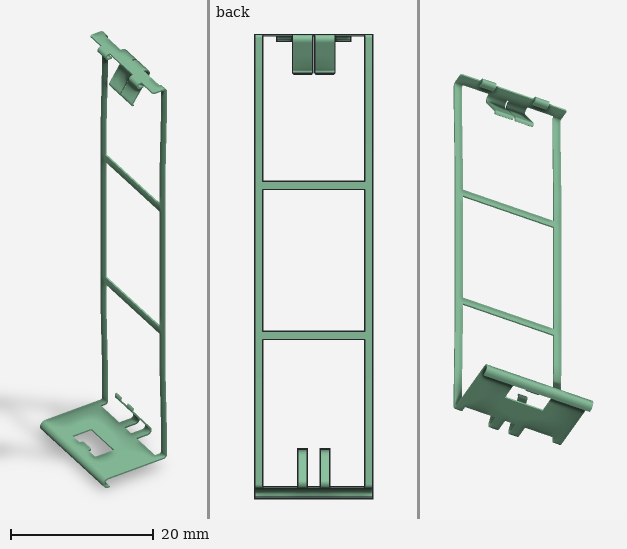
import cadquery as cq
import math


height = 65.1
width = 16.6
back_reach = 1.3
depth = 11.85
thickness = 0.25

leg_width = 1.2
leg_bend = 0.4
leg_step = 0.25
leg_slope_levels = (6.25, 16.85, 50.0, 60.4)
crossbar_height = 1.2
crossbar_bottoms = (22.3, 43.35)

flange_front = -2.3
corner_cut = 0.2
tab_inner = 3.05
tab_width = 2.15
tab_front = -3.0
tab_bend = 0.4
tab_lip = 0.5

tongue_width = 6.0
tongue_slit = 0.25
tongue_back = 0.5
tongue_bend = 0.65
tongue_turn = 124
tongue_length = 4.6
tongue_tip_turn = 75
tongue_tip_bend = 0.3
tongue_tip_length = 0.2

plate_back = -1.25
lip_bend = 0.7
lip_turn = 168
lip_length = 0.4
window_width = 6.0
window_back = -5.4
window_front = -8.5
stop_width = 2.3
stop_height = 0.6

finger_width = 1.35
finger_spacing = 3.1
finger_bend = 0.6
finger_turn = 127
finger_length = 4.7
finger_tip_turn = 85
finger_tip_bend = 0.5

half_sheet = thickness / 2
flange_mid = height - half_sheet
lip_angle = math.radians(lip_turn)
lip_drop = lip_bend * (1 - math.cos(lip_angle)) + lip_length * math.sin(lip_angle)
plate_mid = lip_drop - half_sheet * math.cos(lip_angle)
plate_top = plate_mid + half_sheet
front_reach = back_reach - depth
leg_bend_start = -half_sheet - leg_bend
leg_center = (width - leg_width) / 2
tab_center = tab_inner + tab_width / 2


def box(x_size, x_center, y_min, y_max, z_min, z_max):
    """Plain block centred on x_center."""
    block = cq.Workplane("XY").box(x_size, y_max - y_min, z_max - z_min, centered=(True, False, False))
    return block.translate((x_center, y_min, z_min))


def extrude_across(profile, strip_width, x_center):
    """Extrude a closed YZ profile along X, centred on x_center."""
    return profile.extrude(strip_width / 2, both=True).translate((x_center, 0, 0))


def bent_strip(start, heading, steps, strip_width, x_center=0.0):
    """Strip of sheet whose middle line starts at (y, z) and follows the steps.

    A number is a straight length; a (turn, radius) pair is a bend, positive turns to the left.
    Headings and turns are in degrees, with 0 along +Y and 90 along +Z.
    """
    y, z = start

    def beside(offset, angle, center):
        side = math.radians(angle + 90)
        return (center[0] + offset * math.cos(side), center[1] + offset * math.sin(side))

    def edge_points(offset):
        """Points of one face of the sheet: (end,) for a line, (middle, end) for an arc."""
        place = (y, z)
        angle = heading
        runs = [(beside(offset, angle, place),)]
        for step in steps:
            if isinstance(step, tuple):
                turn, radius = step
                side = math.copysign(radius, turn)
                center = beside(side, angle, place)
                middle = beside(offset - side, angle + turn / 2, center)
                angle += turn
                place = beside(-side, angle, center)
                runs.append((middle, beside(offset, angle, place)))
            else:
                direction = math.radians(angle)
                place = (place[0] + step * math.cos(direction), place[1] + step * math.sin(direction))
                runs.append((beside(offset, angle, place),))
        return runs

    left = edge_points(half_sheet)
    right = edge_points(-half_sheet)
    profile = cq.Workplane("YZ").moveTo(*left[0][0])
    for run in left[1:]:
        profile = profile.lineTo(*run[0]) if len(run) == 1 else profile.threePointArc(*run)
    profile = profile.lineTo(*right[-1][-1])
    for run, previous in zip(right[:0:-1], right[-2::-1]):
        end = previous[-1]
        profile = profile.lineTo(*end) if len(run) == 1 else profile.threePointArc(run[0], end)
    return extrude_across(profile.close(), strip_width, x_center)


def leg(x_center):
    """Leg with a shallow forward step, bent into the flange above and the plate below."""
    low, middle_low, middle_high, high = leg_slope_levels
    bottom = plate_mid + leg_bend
    top = flange_mid - leg_bend
    back = [(0, bottom), (0, low), (-leg_step, middle_low), (-leg_step, middle_high), (0, high), (0, top)]
    front = [(y - thickness, z) for y, z in reversed(back)]
    upright = extrude_across(cq.Workplane("YZ").polyline(back + front).close(), leg_width, x_center)
    run = leg_bend_start - plate_back
    top_bend = bent_strip((plate_back, flange_mid), 0, [run, (-90, leg_bend)], leg_width, x_center)
    bottom_bend = bent_strip((plate_back, plate_mid), 0, [run, (90, leg_bend)], leg_width, x_center)
    return upright.union(top_bend).union(bottom_bend)


def crossbar(bottom):
    """Flat bar joining the stepped middles of the legs."""
    return box(width - leg_width, 0, -leg_step - thickness, -leg_step, bottom, bottom + crossbar_height)


def flange():
    """Top flange that ends at the line where the leg bends start, with its front corners trimmed."""
    panel = box(width, 0, flange_front, leg_bend_start, height - thickness, height)
    return panel.edges("|Z and <Y").chamfer(corner_cut)


def tab(x_center):
    """Tab on the front of the flange, rolled under itself."""
    run = leg_bend_start - (tab_front + tab_bend + half_sheet)
    start = (leg_bend_start, flange_mid)
    return bent_strip(start, 180, [run, (180, tab_bend), tab_lip], tab_width, x_center)


def tongue_half(side):
    """One half of the tongue: rolled back under the flange, with a turned tip and trimmed tip corners."""
    half_width = (tongue_width - tongue_slit) / 2
    center = side * (tongue_slit + half_width) / 2
    start = (leg_bend_start, flange_mid)
    run = tongue_back - tongue_bend - half_sheet - leg_bend_start
    tip_bend = (tongue_tip_turn, tongue_tip_bend)
    steps = [run, (-tongue_turn, tongue_bend), tongue_length, tip_bend, tongue_tip_length]
    half = bent_strip(start, 0, steps, half_width, center)
    tip = half.val().BoundingBox().zmin
    outline = box(half_width, center, flange_front - tongue_length, back_reach, tip, height)
    return half.intersect(outline.edges("|Y and <Z").chamfer(corner_cut))


def plate():
    """Bottom plate with a rolled front lip and a window that has a small stop on its front edge."""
    lip_start = front_reach + lip_bend + half_sheet
    run = plate_back - lip_start
    panel = bent_strip((plate_back, plate_mid), 180, [run, (lip_turn, lip_bend), lip_length], width)
    z_range = (plate_top - thickness, plate_top)
    window = box(window_width, 0, window_front, window_back, *z_range)
    stop = box(stop_width, 0, window_front, window_front + stop_height, *z_range)
    stop = stop.edges("|Z and >Y").chamfer(corner_cut)
    return panel.cut(window.cut(stop))


def finger(x_center):
    """Spring finger that leaves the back of the plate and leans forward between the legs."""
    start = (plate_back, plate_mid)
    run = back_reach - finger_bend - half_sheet - plate_back
    steps = [run, (finger_turn, finger_bend), finger_length, (-finger_tip_turn, finger_tip_bend)]
    return bent_strip(start, 0, steps, finger_width, x_center)


result = plate().union(flange())
for bar_bottom in crossbar_bottoms:
    result = result.union(crossbar(bar_bottom))
for side in (-1, 1):
    result = result.union(leg(side * leg_center))
    result = result.union(tongue_half(side))
    result = result.union(tab(side * tab_center))
    result = result.union(finger(side * finger_spacing / 2))